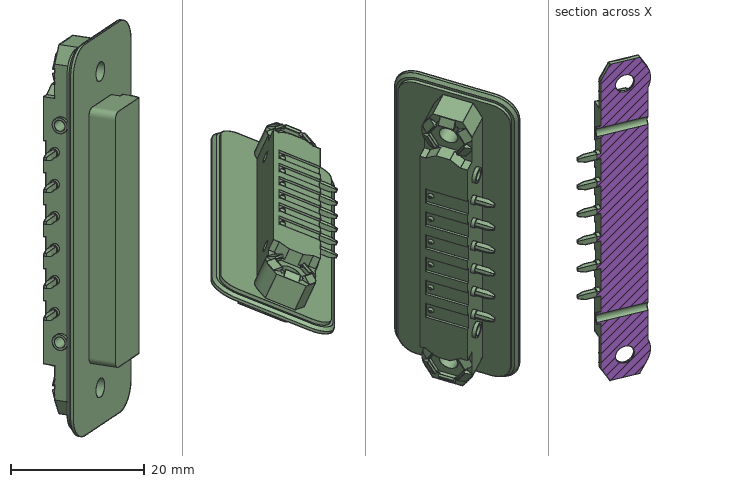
import cadquery as cq
import math

recess_floor_x = 0.35
pad_crest_x = 1.1
seat_x = 1.85
nut_floor_x = 2.2
flange_rear_x = 6.1
flange_step_x = 6.65
flange_front_x = 7.6
plug_front_x = 12.0

flange_width = 20.07
flange_length = 62.11
flange_corner_radius = 4.0
flange_chamfer = 0.5
flange_step_inset = 0.95

body_y_min = -4.6
body_y_max = 3.12
mount_y = -0.65
mount_z = 25.1
mount_apothem = 4.2
screw_hole_diameter = 3.0
nut_apothem = 2.75

block_tip_z = mount_z - nut_apothem
block_shoulder_z = 21.2
block_tip_half_width = 1.12
block_shoulder_half_width = 2.8

pad_width = 2.45
pad_outer_apothem = 4.1
pad_crest_apothem = 2.87
pad_lip_apothem = 2.5
pad_lip_x = 1.4
pad_undercut_x = 1.6
pad_angles = (-30, 30, 90, 150, 210)

contact_count = 6
contact_pitch = 5.08
recess_height = 3.05
recess_y_max = 2.17
stud_y = 1.45
stud_diameter = 1.0
stud_tip_diameter = 0.5
pin_x = 1.95
collar_diameter = 1.45
foot_height = 0.6
pin_width = 1.0
pin_ridge_height = 0.2
pin_tip_scale = 0.5
pin_shoulder_y = -7.05
pin_end_y = -8.15

ring_x = 3.0
ring_z = 17.2
ring_outer_diameter = 2.5
ring_hole_diameter = 1.75

plug_length = 40.6
plug_corner_radius = 1.1
ridge_start_x = 9.1
ridge_slope_x = 10.9
ridge_top_y = 4.0
ridge_end_y = 3.65

contact_zs = [(i - (contact_count - 1) / 2) * contact_pitch for i in range(contact_count)]


def block(x_range, y_range, z_range):
    """Axis-aligned box given by its limits."""
    lows, highs = zip(x_range, y_range, z_range)
    sizes = [high - low for low, high in zip(lows, highs)]
    return cq.Workplane("XY").box(*sizes, centered=False).translate(lows)


def cylinder_y(x, z, diameter, y_start, y_end):
    """Cylinder along Y."""
    direction = cq.Vector(0, y_end - y_start, 0)
    start = cq.Vector(x, y_start, z)
    return cq.Workplane(cq.Solid.makeCylinder(diameter / 2, direction.Length, start, direction))


def rounded_plate(inset, x_start, x_end):
    """Flange outline pulled in by an inset, extruded along X."""
    return (
        cq.Workplane("YZ", origin=(x_start, 0, 0))
        .rect(flange_width - 2 * inset, flange_length - 2 * inset)
        .extrude(x_end - x_start)
        .edges("|X")
        .fillet(flange_corner_radius - inset)
    )


def make_flange():
    """Plate with a chamfered rear edge and a smaller step behind it."""
    plate = rounded_plate(0, flange_step_x, flange_front_x).faces("<X").chamfer(flange_chamfer)
    return plate.union(rounded_plate(flange_step_inset, flange_rear_x, flange_step_x))


def hexagon_prism(apothem, x_start, x_end):
    """Hexagon about the upper screw axis with flats facing +Z and -Z, extruded along X."""
    seat = cq.Workplane("YZ", origin=(x_start, mount_y, mount_z))
    return seat.polygon(6, 2 * apothem / math.cos(math.pi / 6)).extrude(x_end - x_start)


def mount_prism(x_start, x_end):
    """Upper mounting end: a hexagon with its +Y corner rounded, cut off at the body's -Y face."""
    hexagon = hexagon_prism(mount_apothem, x_start, x_end)
    round_limit_y = mount_y + mount_apothem * math.cos(math.pi / 6)
    z_range = (mount_z - 2 * mount_apothem, mount_z + 2 * mount_apothem)
    hexagon = hexagon.intersect(block((x_start, x_end), (body_y_min, round_limit_y), z_range))
    seat = cq.Workplane("YZ", origin=(x_start, mount_y, mount_z))
    disc = seat.circle(mount_apothem).extrude(x_end - x_start)
    return hexagon.union(disc).intersect(block((x_start, x_end), (body_y_min, flange_width), z_range))


def make_pads():
    """Hooked pads on five sides of the upper nut pocket; the block end closes the sixth side."""
    profile = [
        (seat_x, nut_apothem),
        (pad_undercut_x, nut_apothem),
        (pad_lip_x, pad_lip_apothem),
        (pad_crest_x, nut_apothem),
        (pad_crest_x, pad_crest_apothem),
        (seat_x, pad_outer_apothem),
    ]
    pad = cq.Workplane("XY").polyline(profile).close().extrude(pad_width / 2, both=True)
    pads = cq.Workplane()
    for angle in pad_angles:
        pads = pads.add(pad.rotate((0, 0, 0), (1, 0, 0), angle).translate((0, mount_y, mount_z)))
    return pads.combine().intersect(mount_prism(pad_crest_x, seat_x))


def make_rear_block():
    """Raised block carrying the contacts, with the same stepped outline at both ends."""
    upper_end = [
        (body_y_max, block_shoulder_z),
        (mount_y + block_shoulder_half_width, block_shoulder_z),
        (mount_y + block_tip_half_width, block_tip_z),
        (mount_y - block_tip_half_width, block_tip_z),
        (mount_y - block_shoulder_half_width, block_shoulder_z),
        (body_y_min, block_shoulder_z),
    ]
    lower_end = [(y, -z) for y, z in reversed(upper_end)]
    return cq.Workplane("YZ").polyline(upper_end + lower_end).close().extrude(seat_x)


def make_body():
    """Terminal block with a mounting end and nut pocket at the top and bottom."""
    core = block((seat_x, flange_rear_x), (body_y_min, body_y_max), (-mount_z, mount_z))
    upper_mount = mount_prism(seat_x, flange_rear_x).union(make_pads())
    pocket = hexagon_prism(nut_apothem, seat_x, nut_floor_x)
    body = core.union(make_rear_block()).union(upper_mount).union(upper_mount.mirror("XY"))
    return body.cut(pocket).cut(pocket.mirror("XY"))


def make_recess(z):
    """Shallow contact slot in the rear face, open toward -Y."""
    z_range = (z - recess_height / 2, z + recess_height / 2)
    return block((0, recess_floor_x), (body_y_min, recess_y_max), z_range)


def make_stud(z):
    """Tapered contact end standing in a rear recess, flush with the rear face."""
    base = cq.Vector(recess_floor_x, stud_y, z)
    rearward = cq.Vector(-1, 0, 0)
    stud = cq.Solid.makeCone(stud_diameter / 2, stud_tip_diameter / 2, recess_floor_x, base, rearward)
    return cq.Workplane(stud)


def pin_section(y, z, scale):
    """Square pin section whose -X side is a shallow ridge, in a plane facing -Y."""
    half = scale * pin_width / 2
    shoulder = scale * pin_ridge_height - half
    points = [(-half, 0), (shoulder, -half), (half, -half), (half, half), (shoulder, half)]
    return cq.Workplane("XZ", origin=(pin_x, y, z)).polyline(points).close()


def make_pin(z):
    """Round collar, ridged square shank and tapered tip pointing toward -Y."""
    collar = cylinder_y(pin_x, z, collar_diameter, body_y_min, body_y_min - foot_height)
    shank = pin_section(body_y_min, z, 1).extrude(body_y_min - pin_shoulder_y)
    sections = [pin_section(pin_shoulder_y, z, 1), pin_section(pin_end_y, z, pin_tip_scale)]
    tip = cq.Solid.makeLoft([section.val() for section in sections], True)
    return collar.union(shank).union(cq.Workplane(tip))


def make_plug():
    """Front plug with rounded -Y corners and a keying ridge along its +Y side."""
    z_range = (-plug_length / 2, plug_length / 2)
    base = block((flange_front_x, plug_front_x), (body_y_min, body_y_max), z_range)
    base = base.edges("|X and <Y").fillet(plug_corner_radius)
    ridge_profile = [
        (ridge_start_x, body_y_max),
        (ridge_start_x, ridge_top_y),
        (ridge_slope_x, ridge_top_y),
        (plug_front_x, ridge_end_y),
        (plug_front_x, body_y_max),
    ]
    ridge = cq.Workplane("XY").polyline(ridge_profile).close().extrude(plug_length / 2, both=True)
    return base.union(ridge)


part = make_body().union(make_flange()).union(make_plug())

for contact_z in contact_zs:
    part = part.cut(make_recess(contact_z))
    part = part.union(make_stud(contact_z)).union(make_pin(contact_z))

for side in (-1, 1):
    ring = cylinder_y(ring_x, side * ring_z, ring_outer_diameter, body_y_min, body_y_min - foot_height)
    peg_hole = cylinder_y(ring_x, side * ring_z, ring_hole_diameter, -flange_width, flange_width)
    part = part.union(ring).cut(peg_hole)
    screw_axis = cq.Workplane("YZ", origin=(0, mount_y, side * mount_z))
    part = part.cut(screw_axis.circle(screw_hole_diameter / 2).extrude(plug_front_x))

result = part